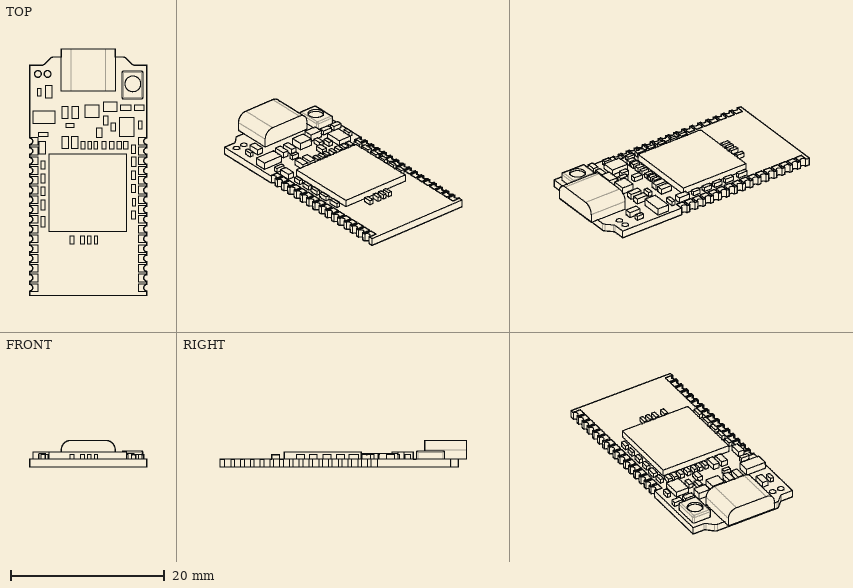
import cadquery as cq


BOARD_WIDTH = 15.24
BOARD_LENGTH = 31.03
BOARD_THICKNESS = 1.05
SHOULDER_DROP = 1.05
NOSE_WIDTH = 9.55
NOSE_CORNER_RADIUS = 0.5
SHOULDER_RADIUS = 0.3

CONTACT_COUNT = 16
CONTACT_PITCH = 1.27
FIRST_CONTACT_Y = 1.02
PAD_LENGTH = 1.1
PAD_WIDTH = 1.0
PAD_THICKNESS = 0.05
NOTCH_RADIUS = 0.4

HOLE_DIAMETER = 0.85
HOLE_XS = (-6.55, -5.29)
HOLE_Y = 28.82

CONNECTOR_WIDTH = 7.05
CONNECTOR_LENGTH = 5.45
CONNECTOR_TOP = 3.5
CONNECTOR_FRONT_Y = 32.07
CONNECTOR_RADIUS = 1.25

BUTTON_CENTER = (5.75, 27.38)
BUTTON_SIZE = (2.7, 3.65)
BUTTON_HEIGHT = 1.08
BUTTON_EDGE_RADIUS = 0.2
RECESS_CENTER = (5.8, 27.53)
RECESS_DIAMETER = 2.05
RECESS_DEPTH = 0.3

TALL = 0.95
MEDIUM = 0.75
LOW = 0.6

TALL_PARTS = [
    ((10.05, 10.05), [(-0.05, 13.38)]),
    ((2.9, 1.65), [(-5.75, 23.18)]),
    ((1.8, 1.65), [(0.48, 23.96)]),
    ((1.75, 1.25), [(2.86, 24.54)]),
]
MEDIUM_PARTS = [
    ((1.85, 2.45), [(5.02, 21.93)]),
    ((0.85, 1.6), [(-5.13, 26.52), (-2.99, 19.90), (-1.75, 19.90), (-5.99, 19.22)]),
    ((0.8, 1.6), [(-3.04, 23.82), (-1.69, 23.82)]),
]
LOW_PARTS = [
    ((1.35, 0.7), [(4.88, 24.44)]),
    ((1.2, 0.7), [(6.62, 24.44)]),
    ((1.2, 0.5), [(-5.85, 20.96)]),
    ((1.0, 0.5), [(-2.37, 22.12)]),
    ((0.7, 1.25), [(1.45, 21.16)]),
    ((0.6, 1.25), [(5.94, 17.39)]),
    ((0.6, 1.15), [(2.28, 22.75)]),
    ((0.6, 1.05), [(3.24, 21.93)]),
    ((0.6, 1.0), [(3.04, 19.56), (4.01, 19.56), (4.88, 19.56)]),
    ((0.5, 1.35), [(-5.89, 9.61)]),
    ((0.5, 1.25), [(-5.89, 11.78)]),
    ((0.5, 1.15), [(-5.89, 15.21), (-5.89, 13.57)]),
    ((0.5, 1.05), [(-5.89, 17.00), (5.89, 19.03), (5.89, 15.65), (5.89, 13.91)]),
    ((0.5, 1.05), [(-2.13, 7.24), (-0.77, 7.24)]),
    ((0.45, 1.05), [(0.14, 7.24), (1.01, 7.24)]),
    ((0.5, 1.0), [(-6.38, 26.43), (6.76, 22.17), (5.89, 10.48)]),
    ((0.5, 1.0), [(-0.68, 19.56), (0.19, 19.56), (0.97, 19.56), (2.03, 19.56)]),
    ((0.4, 1.0), [(5.94, 12.12)]),
]


def block(center, size, base, height):
    """Box standing on the plane z = base, centered on a point in plan."""
    return (
        cq.Workplane("XY", origin=(center[0], center[1], base))
        .rect(*size)
        .extrude(height)
    )


def contact_centers():
    """Points on the two long board edges where the contact notches are centered."""
    ys = [FIRST_CONTACT_Y + i * CONTACT_PITCH for i in range(CONTACT_COUNT)]
    return [(side * BOARD_WIDTH / 2, y) for side in (-1, 1) for y in ys]


def mirrored_edges(x, y):
    """Selector for the two upright board edges at (x, y) and (-x, y)."""
    middle = BOARD_THICKNESS / 2
    right = cq.selectors.NearestToPointSelector((x, y, middle))
    left = cq.selectors.NearestToPointSelector((-x, y, middle))
    return right + left


def board():
    """Flat board whose connector end narrows to a nose between 45 degree shoulders."""
    half_width = BOARD_WIDTH / 2
    half_nose = NOSE_WIDTH / 2
    half_foot = half_nose + SHOULDER_DROP
    shoulder_y = BOARD_LENGTH - SHOULDER_DROP
    plate = (
        cq.Workplane("XY")
        .moveTo(-half_width, 0)
        .lineTo(half_width, 0)
        .lineTo(half_width, shoulder_y)
        .lineTo(half_foot, shoulder_y)
        .lineTo(half_nose, BOARD_LENGTH)
        .lineTo(-half_nose, BOARD_LENGTH)
        .lineTo(-half_foot, shoulder_y)
        .lineTo(-half_width, shoulder_y)
        .close()
        .extrude(BOARD_THICKNESS)
    )
    nose_corners = mirrored_edges(half_nose, BOARD_LENGTH)
    plate = plate.edges(nose_corners).fillet(NOSE_CORNER_RADIUS)
    shoulder_corners = mirrored_edges(half_foot, shoulder_y)
    return plate.edges(shoulder_corners).fillet(SHOULDER_RADIUS)


def contact_pads():
    """Thin pads on the top face, reaching inward from the board edges."""
    strips = (
        cq.Workplane("XY", origin=(0, 0, BOARD_THICKNESS))
        .pushPoints(contact_centers())
        .rect(2 * PAD_LENGTH, PAD_WIDTH)
        .extrude(PAD_THICKNESS)
    )
    middle = (0, BOARD_LENGTH / 2)
    return strips.intersect(block(middle, (BOARD_WIDTH, BOARD_LENGTH), 0, CONNECTOR_TOP))


def contact_notches():
    """Half-round grooves through pads and board at every contact."""
    return (
        cq.Workplane("XY")
        .pushPoints(contact_centers())
        .circle(NOTCH_RADIUS)
        .extrude(BOARD_THICKNESS + PAD_THICKNESS)
    )


def through_holes():
    return (
        cq.Workplane("XY")
        .pushPoints([(x, HOLE_Y) for x in HOLE_XS])
        .circle(HOLE_DIAMETER / 2)
        .extrude(BOARD_THICKNESS)
    )


def connector():
    """Connector shell overhanging the nose, with its two long top edges rounded."""
    center = (0, CONNECTOR_FRONT_Y - CONNECTOR_LENGTH / 2)
    size = (CONNECTOR_WIDTH, CONNECTOR_LENGTH)
    shell = block(center, size, BOARD_THICKNESS, CONNECTOR_TOP - BOARD_THICKNESS)
    return shell.edges("|Y and >Z").fillet(CONNECTOR_RADIUS)


def button():
    """Push button with rounded edges and a round recess in its top."""
    body = block(BUTTON_CENTER, BUTTON_SIZE, BOARD_THICKNESS, BUTTON_HEIGHT)
    body = body.edges("|Z or >Z").fillet(BUTTON_EDGE_RADIUS)
    recess_floor = BOARD_THICKNESS + BUTTON_HEIGHT - RECESS_DEPTH
    recess = (
        cq.Workplane("XY", origin=(*RECESS_CENTER, recess_floor))
        .circle(RECESS_DIAMETER / 2)
        .extrude(RECESS_DEPTH)
    )
    return body.cut(recess)


result = board().union(contact_pads()).cut(contact_notches()).cut(through_holes())
result = result.union(connector()).union(button())
for parts, height in ((TALL_PARTS, TALL), (MEDIUM_PARTS, MEDIUM), (LOW_PARTS, LOW)):
    for size, centers in parts:
        for center in centers:
            result = result.union(block(center, size, BOARD_THICKNESS, height))